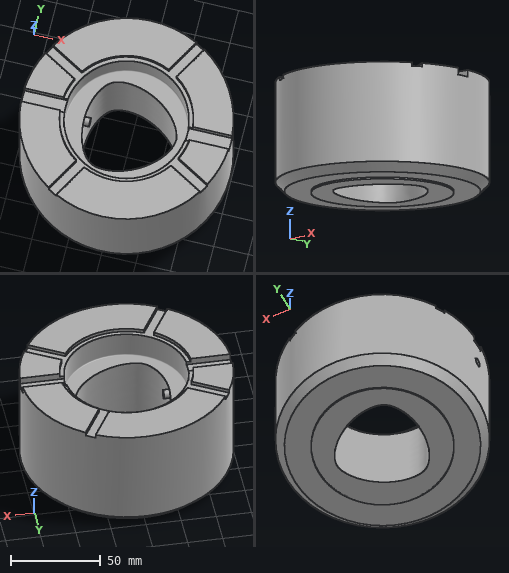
import cadquery as cq
import math

outer_diameter = 120.0
total_height = 63.0
chamfer = 5.0
base_pad_diameter = 80.0
base_pad_height = 1.0

bore_diameter = 70.1
bore_depth = 16.8
bore_floor_fillet = 0.7
ring_diameter = 75.0
shallow_depth = 2.0

lobe_mean_radius = 26.5
lobe_rise = 2.1
lobe_count = 3
lobe_curve_points = 72

key_slot_width = 8.0
key_slot_depth = 4.0
shallow_slot_width = 6.0
shallow_slot_angles = (60, 150)

pin_diameter = 5.0
pin_drop = 20.0
pin_tip_radius = 21.0
pin_recess = 6.0

outer_radius = outer_diameter / 2


def make_body():
    pad = cq.Workplane("XY").circle(base_pad_diameter / 2).extrude(base_pad_height)
    drum = (
        cq.Workplane("XY", origin=(0, 0, base_pad_height))
        .circle(outer_radius)
        .extrude(total_height - base_pad_height)
        .faces("<Z")
        .chamfer(chamfer)
    )
    return drum.union(pad)


def round_pocket(diameter, depth):
    return cq.Workplane("XY", origin=(0, 0, total_height - depth)).circle(diameter / 2).extrude(depth)


def slot(width, depth, angle):
    """Slot running right across the top face through the axis."""
    return (
        cq.Workplane("XY", origin=(0, 0, total_height - depth))
        .rect(2 * outer_diameter, width)
        .extrude(depth)
        .rotate((0, 0, 0), (0, 0, 1), angle)
    )


def lobe_point(angle):
    """Profile point whose tangent line faces the given angle."""
    reach = lobe_mean_radius + lobe_rise * math.cos(lobe_count * angle)
    slide = -lobe_count * lobe_rise * math.sin(lobe_count * angle)
    x = reach * math.cos(angle) - slide * math.sin(angle)
    y = reach * math.sin(angle) + slide * math.cos(angle)
    return (x, y)


def lobed_hole():
    return (
        cq.Workplane("XY")
        .parametricCurve(lambda turn: lobe_point(2 * math.pi * turn), N=lobe_curve_points)
        .extrude(total_height)
    )


def cross_cylinder(start_radius, end_radius):
    """Cylinder along X on the -X side, between two distances from the axis."""
    return (
        cq.Workplane("YZ", origin=(-start_radius, 0, total_height - pin_drop))
        .circle(pin_diameter / 2)
        .extrude(start_radius - end_radius)
    )


result = make_body()
result = result.cut(round_pocket(ring_diameter, shallow_depth))
result = result.cut(round_pocket(bore_diameter, bore_depth).faces("<Z").edges().fillet(bore_floor_fillet))
result = result.cut(lobed_hole())
result = result.cut(slot(key_slot_width, key_slot_depth, 0))
for slot_angle in shallow_slot_angles:
    result = result.cut(slot(shallow_slot_width, shallow_depth, slot_angle))

pin_outer_radius = outer_radius - pin_recess
result = result.cut(cross_cylinder(outer_radius, pin_outer_radius))
result = result.union(cross_cylinder(pin_outer_radius, pin_tip_radius))